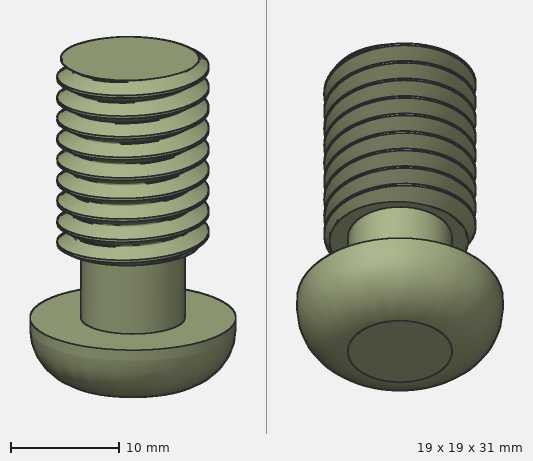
import cadquery as cq
import math

total_length = 31.0
head_diameter = 19.0
head_height = 6.0
head_round = 5.0
shank_diameter = 9.6
thread_start = 13.0

crest_radius = 7.0
root_radius = 5.6
thread_turns = 9
thread_length = total_length - thread_start
pitch = thread_length / thread_turns
crest_flat = pitch / 8
flank_angle = 30.0
flank_height = (crest_radius - root_radius) * math.tan(math.radians(flank_angle))
root_center_angle = -11.0


def make_head():
    """Domed head with a flat end and a short cylindrical rim."""
    head = cq.Workplane("XY").circle(head_diameter / 2).extrude(head_height)
    return head.faces("<Z").edges().fillet(head_round)


def make_shank():
    """Plain neck, carried up through the core of the thread."""
    return cq.Workplane("XY").circle(shank_diameter / 2).extrude(total_length)


def polar_point(radius, angle):
    return (radius * math.cos(angle), radius * math.sin(angle))


def make_thread():
    """Right-hand thread: a cross-section of arcs and flank spirals, twisted along Z."""
    flank_span = 2 * math.pi * flank_height / pitch
    crest_half = math.pi * crest_flat / pitch
    root_half = math.pi - crest_half - flank_span
    root_center = math.radians(root_center_angle)
    crest_center = root_center + math.pi

    def rising_flank(t):
        radius = root_radius + t * (crest_radius - root_radius)
        return polar_point(radius, root_center + root_half + t * flank_span)

    def falling_flank(t):
        radius = crest_radius - t * (crest_radius - root_radius)
        return polar_point(radius, crest_center + crest_half + t * flank_span)

    section = (
        cq.Workplane("XY", origin=(0, 0, thread_start))
        .moveTo(*polar_point(root_radius, root_center - root_half))
        .threePointArc(polar_point(root_radius, root_center), rising_flank(0))
        .parametricCurve(rising_flank, N=24, makeWire=False)
        .threePointArc(polar_point(crest_radius, crest_center), falling_flank(0))
        .parametricCurve(falling_flank, N=24, makeWire=False)
        .wire()
    )
    return section.twistExtrude(thread_length, 360 * thread_turns)


result = make_head().union(make_shank()).union(make_thread())